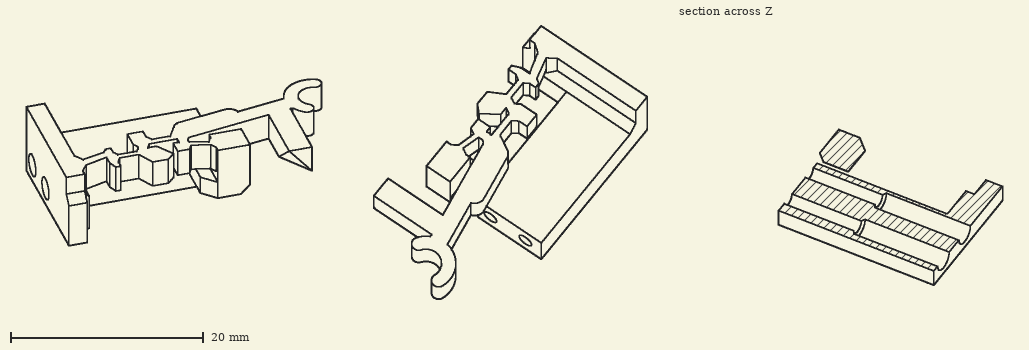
import cadquery as cq
import math


top_z = 8.0
arm_bottom_z = 5.0
base_top_z = 4.0

slab_width = 8.2
slab_length = 18.5
wall_width = 14.6
wall_thickness = 2.0
bevel_size = 1.0
bevel_end_x = 12.15
wall_notch = 0.9

hole_front_radius = 1.2
hole_back_radius = 0.8
hole_front_depth = 10.0
drill_half_angle = 60.0
hole_z = 2.0
hole_first_x = 2.05
hole_pitch = 4.5
hole_count = 2

linkage_right_x = 13.7
root_top_y = 2.65
root_left_x, root_right_x = 10.12, 13.05
neck_left_x, neck_right_x = 11.08, 12.15

cross_bottom_y, cross_top_y = 5.1, 6.03
cross_tip_y = 5.48
cross_left_x, cross_right_x = 9.95, 13.45
cross_foot_left_x, cross_foot_right_x = 10.47, 12.55
strip_end_x = 11.42

lower_web_left_x, lower_web_right_x = 11.3, 11.95
web_flare_width, web_flare_height = 0.57, 0.35

mass_bottom_y, mass_top_y = 8.45, 10.15
mass_left_x = 8.0
mass_shoulder_x = 9.05
mass_slope_height = 0.45
notch_left_x, notch_bend_x, notch_peak_x = 10.05, 10.3, 10.65
notch_bend_y, notch_peak_y = 8.65, 8.8

anvil_left_x = 11.03
anvil_low_y, anvil_high_y = 9.4, 11.1
anvil_tip_x, anvil_tip_y = 12.88, 11.93
anvil_slope_y = 10.66
anvil_root_y = 9.72

upper_web_left_x, upper_web_right_x = 9.68, 10.4
upper_web_root_y = 10.07
foot_bottom_y, foot_step_y = 12.47, 13.12
foot_right_x = 12.6
foot_corner_y = 13.77
foot_top_y = 14.13

lean = 0.164
beam_left_x, beam_right_x = 6.6, 8.6
beam_top_y = 26.0
pad_bottom_y, pad_top_y = 14.0, 19.5
pad_shoulder_y = 20.65
pad_depth = 0.98
pad_arc_x, pad_arc_y = 6.98, 20.35
pad_foot_x, pad_foot_y = 7.9, 13.6
beam_foot_y = 12.6
pocket_top_y = 14.65
pocket_arc_x, pocket_arc_y = 10.6, 14.3
pocket_floor_x = 10.9
hook_overlap = 0.5

prong_bottom_y = 23.5
prong_tip_x = 16.07
prong_cut_x = 3.55

hook_x, hook_y = 7.11, 29.0
hook_inner_radius, hook_outer_radius = 1.61, 3.11
hook_start_angle, hook_end_angle = 160.2, 325.0

hammer_left_x = 10.65
hammer_front_y, hammer_back_y = 16.5, 20.0
link_root_left_x, link_root_right_x = 11.3, 11.95
link_top_left_x, link_top_right_x = 11.86, 12.46
link_top_y = 16.1
link_flare_left_x, link_flare_right_x = 11.17, 13.1
lower_left_x = 8.65
lower_front_y = 15.05
lower_bottom_z = 2.0
lower_back_bevel = 1.0


def prism(points, bottom=arm_bottom_z, top=top_z):
    """Vertical prism over a plan outline."""
    return cq.Workplane("XY").workplane(offset=bottom).polyline(points).close().extrude(top - bottom)


def beam_edge(edge_x, y):
    """X of a leaning beam edge that passes through edge_x at the beam end."""
    return edge_x + lean * (beam_top_y - y)


def make_base():
    """Slab and front wall, with the bevelled step running on beside the slab."""
    side = [
        (0, 0),
        (slab_length, 0),
        (slab_length, base_top_z),
        (wall_thickness + bevel_size, base_top_z),
        (wall_thickness, base_top_z + bevel_size),
        (wall_thickness, top_z),
        (0, top_z),
    ]
    body = cq.Workplane("YZ").polyline(side).close().extrude(bevel_end_x)
    opening = cq.Workplane("XY").box(
        bevel_end_x - slab_width, slab_length, top_z, centered=False
    ).translate((slab_width, wall_thickness + bevel_size, 0))
    front = [
        (0, 0),
        (wall_width, 0),
        (wall_width, arm_bottom_z),
        (wall_width - wall_notch, arm_bottom_z + wall_notch),
        (wall_width - wall_notch, top_z),
        (0, top_z),
    ]
    wall = cq.Workplane("XZ").polyline(front).close().extrude(-wall_thickness)
    return body.cut(opening).union(wall)


def make_hole(x):
    """Cutting body of one stepped hole, entering from the front wall."""
    point_length = (hole_front_radius - hole_back_radius) / math.tan(math.radians(drill_half_angle))
    profile = [
        (0, 0),
        (0, -hole_front_radius),
        (hole_front_depth, -hole_front_radius),
        (hole_front_depth + point_length, -hole_back_radius),
        (slab_length, -hole_back_radius),
        (slab_length, 0),
    ]
    hole = cq.Workplane("YZ").polyline(profile).close().revolve(360, (0, 0), (1, 0))
    return hole.translate((x, 0, hole_z))


def make_root():
    """Flared foot on the wall, reaching down onto the bevel."""
    return prism([
        (root_left_x, wall_thickness),
        (root_right_x, wall_thickness),
        (neck_right_x, root_top_y),
        (neck_left_x, root_top_y),
    ], bottom=base_top_z)


def make_cross():
    """Leaning strip from the root and the cross piece it carries."""
    return prism([
        (neck_left_x, root_top_y),
        (neck_right_x, root_top_y),
        (strip_end_x, cross_bottom_y),
        (cross_foot_right_x, cross_bottom_y),
        (cross_right_x, cross_tip_y),
        (cross_right_x, cross_top_y),
        (lower_web_right_x + web_flare_width, cross_top_y),
        (lower_web_right_x, cross_top_y + web_flare_height),
        (lower_web_left_x, cross_top_y + web_flare_height),
        (lower_web_left_x - web_flare_width, cross_top_y),
        (cross_left_x, cross_top_y),
        (cross_left_x, cross_tip_y),
        (cross_foot_left_x, cross_bottom_y),
    ])


def make_middle_mass():
    """Lower web and the mass with its pointed anvil."""
    return prism([
        (lower_web_left_x, cross_top_y),
        (lower_web_right_x, cross_top_y),
        (lower_web_right_x, mass_bottom_y),
        (linkage_right_x, anvil_low_y),
        (linkage_right_x, anvil_high_y),
        (anvil_tip_x, anvil_tip_y),
        (anvil_left_x, anvil_slope_y),
        (anvil_left_x, anvil_root_y),
        (upper_web_right_x, upper_web_root_y),
        (upper_web_left_x, mass_top_y + mass_slope_height),
        (mass_shoulder_x, mass_top_y),
        (mass_left_x, mass_top_y),
        (mass_left_x, mass_bottom_y),
        (notch_left_x, mass_bottom_y),
        (notch_bend_x, notch_bend_y),
        (notch_peak_x, notch_peak_y),
        (lower_web_left_x, mass_bottom_y),
    ])


def make_foot():
    """Upper web and the stepped foot at the lower end of the beam."""
    return prism([
        (upper_web_left_x, upper_web_root_y),
        (upper_web_right_x, upper_web_root_y),
        (upper_web_right_x, foot_step_y),
        (anvil_left_x, foot_step_y),
        (anvil_left_x, foot_bottom_y),
        (foot_right_x, foot_bottom_y),
        (foot_right_x, foot_corner_y),
        (link_root_right_x, foot_top_y),
        (upper_web_left_x, foot_top_y),
    ])


def make_beam():
    """Leaning beam with the thicker pad on its left side."""
    return (
        cq.Workplane("XY").workplane(offset=arm_bottom_z)
        .moveTo(beam_left_x, beam_top_y)
        .lineTo(beam_edge(beam_left_x, pad_shoulder_y), pad_shoulder_y)
        .threePointArc((pad_arc_x, pad_arc_y), (beam_edge(beam_left_x - pad_depth, pad_top_y), pad_top_y))
        .lineTo(beam_edge(beam_left_x - pad_depth, pad_bottom_y), pad_bottom_y)
        .lineTo(pad_foot_x, pad_foot_y)
        .lineTo(upper_web_left_x, beam_foot_y)
        .lineTo(upper_web_right_x, foot_step_y)
        .lineTo(link_root_left_x, foot_top_y)
        .lineTo(pocket_floor_x, foot_top_y)
        .threePointArc((pocket_arc_x, pocket_arc_y), (beam_edge(beam_right_x, pocket_top_y), pocket_top_y))
        .lineTo(beam_right_x, beam_top_y)
        .lineTo(beam_right_x, beam_top_y + hook_overlap)
        .lineTo(beam_left_x, beam_top_y + hook_overlap)
        .close().extrude(top_z - arm_bottom_z)
    )


def make_prong():
    """Side bar whose lower front corner is cut off by an oblique plane."""
    bar = prism([
        (beam_left_x, beam_top_y),
        (beam_edge(beam_left_x, prong_bottom_y), prong_bottom_y),
        (prong_tip_x, prong_bottom_y),
        (prong_tip_x, beam_top_y),
    ])
    upper = cq.Vector(prong_tip_x, prong_bottom_y, top_z)
    corner = cq.Vector(prong_tip_x, prong_bottom_y, arm_bottom_z)
    inner = cq.Vector(prong_tip_x - prong_cut_x, prong_bottom_y, arm_bottom_z)
    back = cq.Vector(prong_tip_x, beam_top_y, arm_bottom_z)
    triangles = [
        (upper, corner, inner),
        (upper, inner, back),
        (upper, back, corner),
        (corner, inner, back),
    ]
    faces = [
        cq.Face.makeFromWires(cq.Wire.makePolygon(triangle, close=True))
        for triangle in triangles
    ]
    lower_corner = cq.Solid.makeSolid(cq.Shell.makeShell(faces))
    return bar.cut(cq.Workplane(lower_corner))


def polar(radius, angle):
    """Point around the hook centre, angle in degrees from +X."""
    turn = math.radians(angle)
    return hook_x + radius * math.cos(turn), hook_y + radius * math.sin(turn)


def make_hook():
    """Open ring with rounded ends."""
    middle_angle = (hook_start_angle + hook_end_angle) / 2
    middle_radius = (hook_inner_radius + hook_outer_radius) / 2
    tip_radius = (hook_outer_radius - hook_inner_radius) / 2
    hook = (
        cq.Workplane("XY").workplane(offset=arm_bottom_z)
        .moveTo(*polar(hook_outer_radius, hook_start_angle))
        .threePointArc(polar(hook_outer_radius, middle_angle), polar(hook_outer_radius, hook_end_angle))
        .lineTo(*polar(hook_inner_radius, hook_end_angle))
        .threePointArc(polar(hook_inner_radius, middle_angle), polar(hook_inner_radius, hook_start_angle))
        .close().extrude(top_z - arm_bottom_z)
    )
    tips = [polar(middle_radius, hook_start_angle), polar(middle_radius, hook_end_angle)]
    for tip in tips:
        hook = hook.union(
            cq.Workplane("XY").workplane(offset=arm_bottom_z).center(*tip)
            .circle(tip_radius).extrude(top_z - arm_bottom_z)
        )
    return hook


def make_hammer():
    """Hammer block on its leaning link; the lower part spreads out at 45 degrees."""
    link = prism([
        (link_root_left_x, foot_top_y),
        (link_root_right_x, foot_top_y),
        (link_top_right_x, link_top_y),
        (link_flare_right_x, hammer_front_y),
        (link_flare_left_x, hammer_front_y),
        (link_top_left_x, link_top_y),
    ])
    block = prism([
        (hammer_left_x, hammer_front_y),
        (linkage_right_x, hammer_front_y),
        (linkage_right_x, hammer_back_y),
        (hammer_left_x, hammer_back_y),
    ], bottom=base_top_z)
    left_run = hammer_left_x - lower_left_x
    front_run = hammer_front_y - lower_front_y
    lower = prism([
        (lower_left_x, lower_front_y),
        (linkage_right_x - front_run, lower_front_y),
        (linkage_right_x, hammer_front_y),
        (linkage_right_x, hammer_back_y),
        (hammer_left_x, hammer_back_y),
        (lower_left_x, hammer_back_y - left_run),
    ], bottom=lower_bottom_z, top=base_top_z)
    bevel = cq.Workplane("YZ").polyline([
        (hammer_back_y, lower_bottom_z),
        (hammer_back_y - lower_back_bevel, lower_bottom_z),
        (hammer_back_y, lower_bottom_z + lower_back_bevel),
    ]).close().extrude(linkage_right_x)
    return block.union(lower.cut(bevel)).union(link)


result = make_base()
for index in range(hole_count):
    result = result.cut(make_hole(hole_first_x + index * hole_pitch))
for piece in (
    make_root(), make_cross(), make_middle_mass(), make_foot(),
    make_beam(), make_prong(), make_hook(), make_hammer(),
):
    result = result.union(piece)